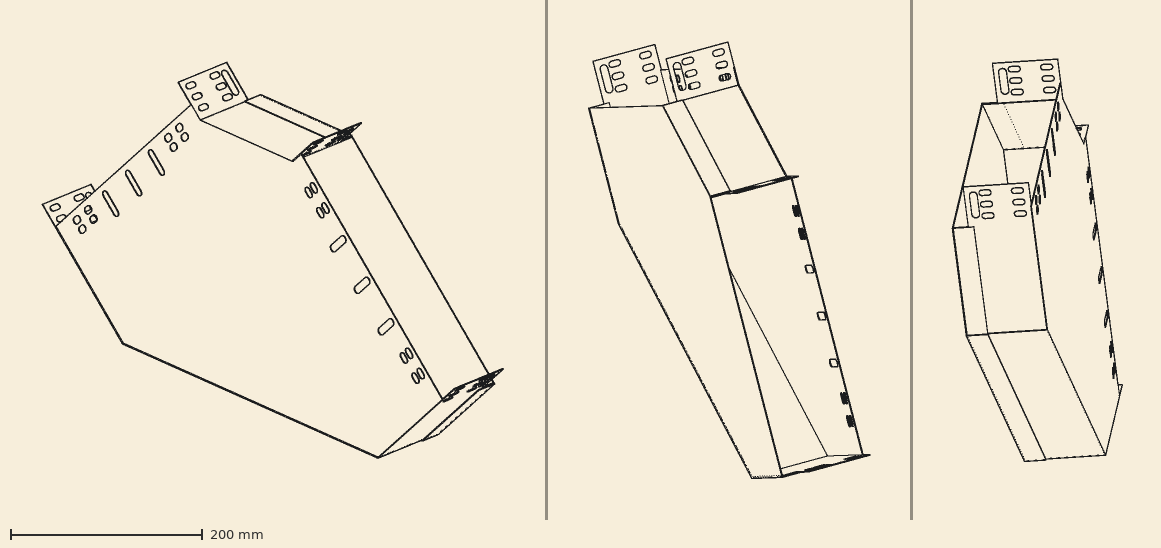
import cadquery as cq
import math


sheet = 1.0
tray_width = 301.5
inner_edge = 140.5
inner_stub = 19.0
outer_leg = 143.0
wall_height = 85.0

lid_setback = 19.0
lip_height = 23.0

tab_reach = 27.0
tab_height = 69.0

tab_hole_columns = [8.0, 21.5, 35.0]
tab_hole_rows = [12.5, 47.0]
tab_hole_length = 12.5
tab_hole_width = 6.5
tab_slot_from_tip = 21.5
tab_slot_height = 59.5
tab_slot_length = 30.0
tab_slot_width = 8.0

base_slot_pitch = 50.5
base_slot_inset = 21.5
base_slot_length = 30.5
base_slot_width = 8.0
base_hole_offsets = [88.5, 113.5]
base_hole_insets = [10.0, 21.5]
base_hole_length = 12.0
base_hole_width = 7.5

tilt_x = -0.4
tilt_y = -1.65
tilt_z = 1.3

clearance = 6.5

arm_angle = 45
arm_step = math.sin(math.radians(arm_angle))
inner_corner = (inner_edge / 2, 0)
inner_end = (inner_corner[0] + inner_stub * arm_step, inner_stub * arm_step)
outer_end = (inner_end[0] + tray_width * arm_step, inner_end[1] - tray_width * arm_step)
outer_corner = (outer_end[0] - outer_leg * arm_step, outer_end[1] - outer_leg * arm_step)


def elbow_slab(grow, reach, y_start, y_end):
    """Solid elbow with its walls offset outward by grow and its open ends moved outward by reach."""
    along = reach * arm_step
    across = grow * arm_step
    corner_shift = grow * math.tan(math.radians(arm_angle / 2))
    half = [
        (inner_corner[0] - corner_shift, inner_corner[1] + grow),
        (inner_end[0] + along - across, inner_end[1] + along + across),
        (outer_end[0] + along + across, outer_end[1] + along - across),
        (outer_corner[0] + corner_shift, outer_corner[1] - grow),
    ]
    outline = half + [(-x, z) for x, z in reversed(half)]
    slab = cq.Workplane("XZ").polyline(outline).close().extrude(y_start - y_end)
    return slab.translate((0, y_start, 0))


def on_arm(shape, along, across, y):
    """Move a shape, drawn with X along the arm and Z across it, to its place on the +X arm.

    The along distance runs outward from the open end, across from the inner to the outer wall.
    """
    x = inner_end[0] + (along + across) * arm_step
    z = inner_end[1] + (along - across) * arm_step
    return shape.rotate((0, 0, 0), (0, 1, 0), -arm_angle).translate((x, y, z))


def arm_box(along, across, y):
    """Box on the +X arm between (low, high) limits."""
    box = cq.Workplane("XY").box(along[1] - along[0], y[1] - y[0], across[1] - across[0])
    return on_arm(box, sum(along) / 2, sum(across) / 2, sum(y) / 2)


def with_mirror_image(feature):
    """A feature of the +X arm and its mirror image on the -X arm."""
    return [feature, feature.mirror("YZ")]


def cut_base_holes(tray):
    """Cut the slots and the groups of small holes along both open ends of the base."""
    slot = cq.Workplane("XZ").slot2D(base_slot_length, base_slot_width)
    slot = slot.extrude(clearance, both=True)
    hole = cq.Workplane("XZ").slot2D(base_hole_length, base_hole_width, 90)
    hole = hole.extrude(clearance, both=True)
    places = [(slot, base_slot_inset, step * base_slot_pitch) for step in (-1, 0, 1)]
    for side in (-1, 1):
        for offset in base_hole_offsets:
            for inset in base_hole_insets:
                places.append((hole, inset, side * offset))
    for shape, inset, offset in places:
        for cutter in with_mirror_image(on_arm(shape, -inset, tray_width / 2 + offset, 0)):
            tray = tray.cut(cutter)
    return tray


def cut_tab_holes(tray):
    """Cut the holes of the tabs, each cutter passing through both tabs of an arm."""
    half_depth = tray_width / 2 + clearance
    slot = cq.Workplane("XY").slot2D(tab_slot_length, tab_slot_width)
    slot = slot.extrude(half_depth, both=True)
    hole = cq.Workplane("XY").slot2D(tab_hole_length, tab_hole_width, 90)
    hole = hole.extrude(half_depth, both=True)
    places = [(slot, tab_slot_from_tip, tab_slot_height)]
    for column in tab_hole_columns:
        for row in tab_hole_rows:
            places.append((hole, column, row))
    for shape, from_tip, height in places:
        for cutter in with_mirror_image(on_arm(shape, tab_reach - from_tip, tray_width / 2, height)):
            tray = tray.cut(cutter)
    return tray


def build_tray():
    """Base with walls, full height under the lid and lowered to the tabs beyond it."""
    above_walls = wall_height + clearance
    tray = elbow_slab(0, 0, 0, wall_height)
    tray = tray.cut(elbow_slab(-sheet, clearance, sheet, above_walls))

    lowered_end = arm_box(
        (-lid_setback, clearance),
        (-clearance, tray_width + clearance),
        (tab_height, above_walls),
    )
    for cutter in with_mirror_image(lowered_end):
        tray = tray.cut(cutter)

    for wall in ((0, sheet), (tray_width - sheet, tray_width)):
        for tab in with_mirror_image(arm_box((-sheet, tab_reach), wall, (0, tab_height))):
            tray = tray.union(tab)

    return cut_tab_holes(cut_base_holes(tray))


def build_lid():
    """Flat cover with a lip that closes around the outside of the tray walls."""
    lid_top = wall_height + sheet
    lid = elbow_slab(sheet, -lid_setback, lid_top - lip_height, lid_top)
    return lid.cut(elbow_slab(0, clearance, 0, wall_height))


def tilted(body):
    """The single solid of a body, turned from the frame of the elbow to its final attitude."""
    for axis, angle in (((1, 0, 0), tilt_x), ((0, 1, 0), tilt_y), ((0, 0, 1), tilt_z)):
        body = body.rotate((0, 0, 0), axis, angle)
    return body.solids()


tray = tilted(build_tray())
lid = tilted(build_lid())

result = cq.Compound.makeCompound([tray.val(), lid.val()])